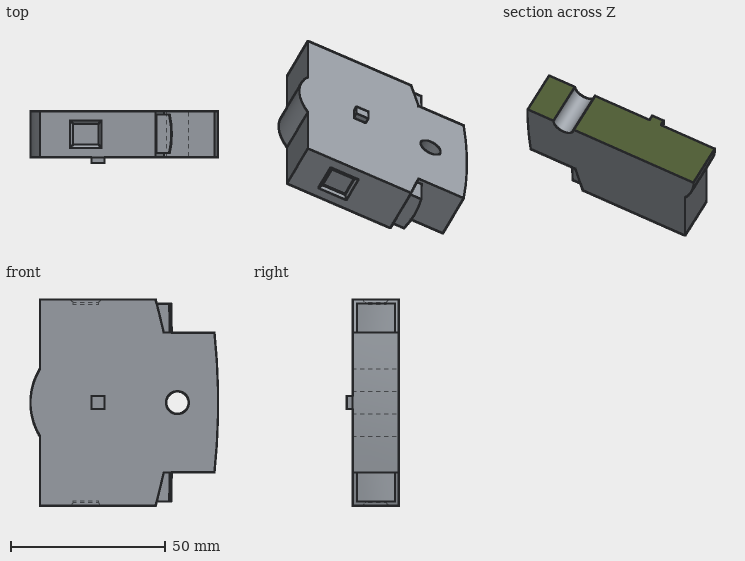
import cadquery as cq

thickness = 15.0
height = 67.0
length = 60.94
half_height = height / 2
front_y = -thickness / 2

bulge_depth = 3.1
bulge_half_height = 10.95
shoulder_top_x = 40.65
shoulder_base_x = 43.3
nose_half_height = 22.65
nose_crown = 1.2
nose_corner_x = length - nose_crown

hole_diameter = 7.25
hole_x = 47.7

pin_x = 21.95
pin_side = 4.3
pin_length = 1.9

pocket_x = 18.0
pocket_length = 10.2
pocket_width = 8.8
pocket_floor_length = 8.2
pocket_floor_width = 6.7
pocket_taper_depth = 1.05
pocket_floor_depth = 0.6

latch_width = 12.4
latch_y = 0.1
latch_root_x = 38.0
latch_top_z = half_height - 1.4
latch_top_corner_x = 45.0
latch_base_corner_x = 45.2
latch_bow = 0.7


def make_housing():
    return (
        cq.Workplane("XZ", origin=(0, thickness / 2, 0))
        .moveTo(bulge_depth, half_height)
        .lineTo(shoulder_top_x, half_height)
        .lineTo(shoulder_base_x, nose_half_height)
        .lineTo(nose_corner_x, nose_half_height)
        .threePointArc((length, 0), (nose_corner_x, -nose_half_height))
        .lineTo(shoulder_base_x, -nose_half_height)
        .lineTo(shoulder_top_x, -half_height)
        .lineTo(bulge_depth, -half_height)
        .lineTo(bulge_depth, -bulge_half_height)
        .threePointArc((0, 0), (bulge_depth, bulge_half_height))
        .close()
        .extrude(thickness)
    )


def make_hole():
    return (
        cq.Workplane("XZ", origin=(hole_x, thickness / 2, 0))
        .circle(hole_diameter / 2)
        .extrude(thickness)
    )


def make_pin():
    return (
        cq.Workplane("XZ", origin=(pin_x, front_y, 0))
        .rect(pin_side, pin_side)
        .extrude(pin_length)
    )


def make_pocket():
    """Recess cut down from the upper end face."""
    mouth = (
        cq.Workplane("XY", origin=(pocket_x, 0, half_height))
        .rect(pocket_length, pocket_width)
        .workplane(offset=-pocket_taper_depth)
        .rect(pocket_floor_length, pocket_floor_width)
        .loft(ruled=True)
    )
    floor = (
        cq.Workplane("XY", origin=(pocket_x, 0, half_height - pocket_taper_depth))
        .rect(pocket_floor_length, pocket_floor_width)
        .extrude(-pocket_floor_depth)
    )
    return mouth.union(floor)


def latch_section(z, corner_x):
    """Horizontal latch outline at height z, bowed on its +X side."""
    half_width = latch_width / 2
    return (
        cq.Workplane("XY", origin=(0, latch_y, z))
        .moveTo(latch_root_x, -half_width)
        .lineTo(corner_x, -half_width)
        .threePointArc((corner_x + latch_bow, 0), (corner_x, half_width))
        .lineTo(latch_root_x, half_width)
        .close()
        .val()
    )


def make_latch():
    base = latch_section(nose_half_height, latch_base_corner_x)
    top = latch_section(latch_top_z, latch_top_corner_x)
    return cq.Workplane(cq.Solid.makeLoft([base, top], True))


def both_ends(shape):
    """The shape together with its mirror image about Z = 0."""
    return shape, shape.mirror("XY")


result = make_housing().cut(make_hole()).union(make_pin())
for latch in both_ends(make_latch()):
    result = result.union(latch)
for pocket in both_ends(make_pocket()):
    result = result.cut(pocket)